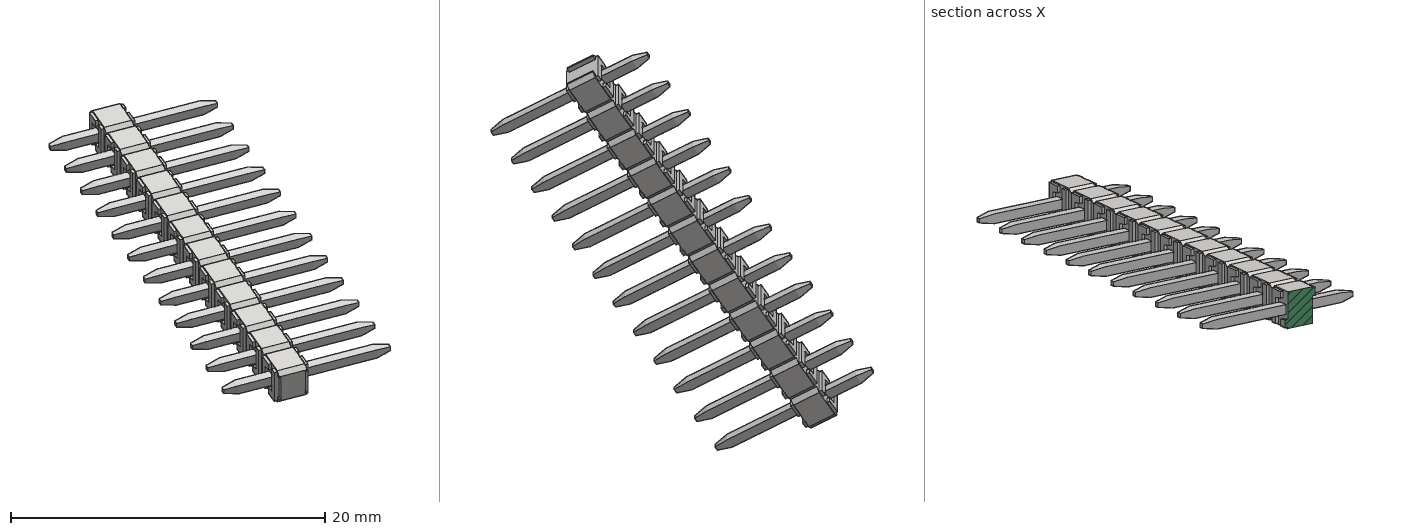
import cadquery as cq

pin_count = 12
pitch = 2.54
height = 2.49
pin_length = 11.56

core_depth = 1.92
cell_width = 1.92
wedge_width = (pitch - cell_width) / 2
wedge_drop = 0.28
row_length = pin_count * pitch

recess_height = 1.70
tab_depth = 1.70

plate_thickness = 0.21
plate_height = 2.30
channel_half_width = 0.53
channel_shoulder = 0.60
channel_neck = 0.70

pin_width = 0.66
pin_end_width = 0.30
taper_length = 1.0
pin_front_reach = 3.15
housing_depth = core_depth + 2 * plate_thickness
pin_front = -housing_depth / 2 - pin_front_reach


def extrude_along_y(outline, y_start, length):
    """Extrude a closed XZ outline from y_start toward +Y."""
    plane = cq.Plane(origin=(0, y_start, 0), xDir=(1, 0, 0), normal=(0, -1, 0))
    return cq.Workplane(plane).polyline(outline).close().extrude(-length)


def core_cell():
    """One cell of the core: a block with sloped corners, as wide as the pitch."""
    flat, side = cell_width / 2, pitch / 2
    top, slope_end = height / 2, height / 2 - wedge_drop
    outline = [
        (-flat, top),
        (flat, top),
        (side, slope_end),
        (side, -slope_end),
        (flat, -top),
        (-flat, -top),
        (-side, -slope_end),
        (-side, slope_end),
    ]
    return extrude_along_y(outline, -core_depth / 2, core_depth)


def front_plate():
    """Standoff plate in front of a cell, split by an S-shaped channel."""
    plate_y = -housing_depth / 2
    plate = cq.Workplane("XY").box(cell_width, plate_thickness, plate_height)
    plate = plate.translate((0, plate_y + plate_thickness / 2, 0))
    edge = plate_height / 2
    channel = [
        (0, edge),
        (0, channel_neck),
        (-channel_half_width, channel_shoulder),
        (-channel_half_width, -edge),
        (0, -edge),
        (0, -channel_neck),
        (channel_half_width, -channel_shoulder),
        (channel_half_width, edge),
    ]
    return plate.cut(extrude_along_y(channel, plate_y, plate_thickness))


def pin():
    """Square pin along Y, tapered at both ends."""
    shaft_length = pin_length - 2 * taper_length
    shaft_front = pin_front + taper_length
    shaft = cq.Workplane("XY").box(pin_width, shaft_length, pin_width)
    shaft = shaft.translate((0, shaft_front + shaft_length / 2, 0))
    tip = (
        cq.Workplane("XZ", origin=(0, shaft_front, 0))
        .rect(pin_width, pin_width)
        .workplane(offset=taper_length)
        .rect(pin_end_width, pin_end_width)
        .loft(ruled=True)
    )
    shaft_middle = shaft_front + shaft_length / 2
    back_tip = tip.mirror("XZ", (0, shaft_middle, 0))
    return shaft.union(tip).union(back_tip)


def end_recess():
    """Slot through the left end, leaving a hook above and below it."""
    slot = cq.Workplane("XY").box(wedge_width, core_depth, recess_height)
    return slot.translate(((wedge_width - row_length) / 2, 0, 0))


def end_tab_reliefs():
    """Cuts in front of and behind the right end that leave a narrower tab."""
    end = cq.Workplane("XY").box(wedge_width, core_depth, recess_height)
    end = end.cut(cq.Workplane("XY").box(wedge_width, tab_depth, recess_height))
    return end.translate(((row_length - wedge_width) / 2, 0, 0))


def connector():
    front = front_plate()
    back = front.rotate((0, 0, 0), (0, 0, 1), 180)
    cell = core_cell().union(front).union(back).union(pin())
    first_x = -(pin_count - 1) * pitch / 2
    row = cell.translate((first_x, 0, 0))
    for index in range(1, pin_count):
        row = row.union(cell.translate((first_x + index * pitch, 0, 0)))
    return row.clean().cut(end_recess()).cut(end_tab_reliefs())


result = connector()